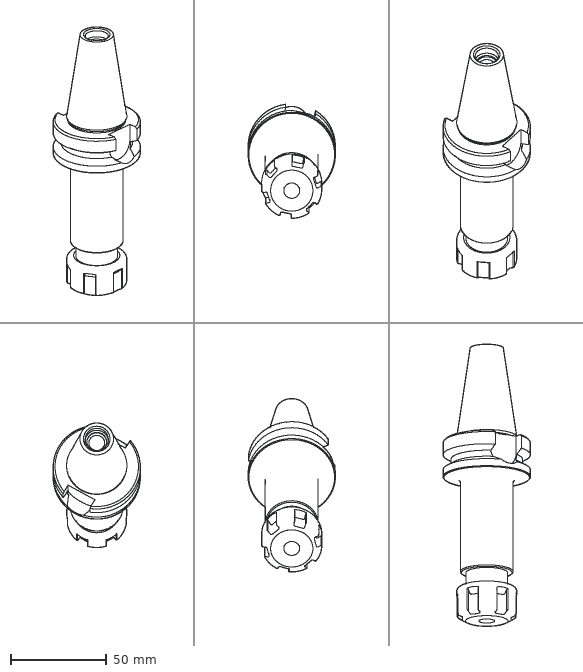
import cadquery as cq
import math

OVERALL_LENGTH = 148.4
GAUGE_HEIGHT = 100.0
FLANGE_TOP = 98.1
FLANGE_BOTTOM = 78.0
SHANK_BOTTOM = 26.3
NUT_TOP = 18.1

GAUGE_RADIUS = 15.9
RELIEF_DEPTH = 0.6
RELIEF_SHOULDER = 98.8
TAPER_RATIO = 7 / 24
FLANGE_RADIUS = 23.0
FLANGE_TOP_CHAMFER = 1.0
FLANGE_BOTTOM_CHAMFER = 0.5

GRIP_GROOVE_RADIUS = 18.8
GRIP_GROOVE_TOP = 88.0
GRIP_GROOVE_BOTTOM = 84.7
GRIP_GROOVE_ANGLE = 30.0

DRIVE_SLOT_WIDTH = 16.2
DRIVE_SLOT_FLOOR = 16.3
DRIVE_SLOT_BOTTOM = 80.7

SHANK_RADIUS = 14.0
SHANK_FILLET = 3.0
SHANK_CHAMFER = 0.6
NECK_RADIUS = 11.0

NUT_RADIUS = 15.9
NUT_TOP_FILLET = 2.2
NUT_MOUTH_RADIUS = 12.2
NUT_MOUTH_DEPTH = 0.5
NUT_FACE_RADIUS = 11.1
NUT_CONE_ANGLE = 30.0
NUT_EDGE_FILLET = 1.5

NUT_SLOT_COUNT = 6
NUT_SLOT_WIDTH = 6.0
NUT_SLOT_FLOOR = 12.8
NUT_SLOT_FILLET = 0.67
NUT_SLOT_FLARE = 0.5
NUT_SLOT_TOP = 14.0
NUT_SLOT_RAISED_TOP = 15.0
NUT_SLOT_CEILING_DROP = 3.1

CUTTER_OVERRUN = 1.5

BORE_RADIUS = 4.2
STEP_RADIUS = 5.2
STEP_DEPTH = 6.2
COUNTERBORE_RADIUS = 6.1
COUNTERBORE_DEPTH = 4.5
BORE_MOUTH_CHAMFER = 0.9


def revolve_profile(points):
    """Solid of revolution about Z from (radius, height) points."""
    return cq.Workplane("XZ").polyline(points).close().revolve(360, (0, 0, 0), (0, 1, 0))


def make_holder():
    """Taper, flange with its gripping groove, and shank."""
    small_radius = GAUGE_RADIUS - (OVERALL_LENGTH - GAUGE_HEIGHT) * TAPER_RATIO / 2
    flank_height = (FLANGE_RADIUS - GRIP_GROOVE_RADIUS) * math.tan(math.radians(GRIP_GROOVE_ANGLE))
    profile = (
        cq.Workplane("XZ")
        .moveTo(0, NUT_TOP)
        .lineTo(NECK_RADIUS, NUT_TOP)
        .lineTo(NECK_RADIUS, SHANK_BOTTOM)
        .lineTo(SHANK_RADIUS - SHANK_CHAMFER, SHANK_BOTTOM)
        .lineTo(SHANK_RADIUS, SHANK_BOTTOM + SHANK_CHAMFER)
        .lineTo(SHANK_RADIUS, FLANGE_BOTTOM - SHANK_FILLET)
        .radiusArc((SHANK_RADIUS + SHANK_FILLET, FLANGE_BOTTOM), SHANK_FILLET)
        .lineTo(FLANGE_RADIUS - FLANGE_BOTTOM_CHAMFER, FLANGE_BOTTOM)
        .lineTo(FLANGE_RADIUS, FLANGE_BOTTOM + FLANGE_BOTTOM_CHAMFER)
        .lineTo(FLANGE_RADIUS, GRIP_GROOVE_BOTTOM - flank_height)
        .lineTo(GRIP_GROOVE_RADIUS, GRIP_GROOVE_BOTTOM)
        .lineTo(GRIP_GROOVE_RADIUS, GRIP_GROOVE_TOP)
        .lineTo(FLANGE_RADIUS, GRIP_GROOVE_TOP + flank_height)
        .lineTo(FLANGE_RADIUS, FLANGE_TOP - FLANGE_TOP_CHAMFER)
        .lineTo(FLANGE_RADIUS - FLANGE_TOP_CHAMFER, FLANGE_TOP)
        .lineTo(GAUGE_RADIUS - RELIEF_DEPTH, FLANGE_TOP)
        .lineTo(GAUGE_RADIUS - RELIEF_DEPTH, RELIEF_SHOULDER)
        .lineTo(GAUGE_RADIUS, GAUGE_HEIGHT)
        .lineTo(small_radius, OVERALL_LENGTH)
        .lineTo(0, OVERALL_LENGTH)
        .close()
    )
    return profile.revolve(360, (0, 0, 0), (0, 1, 0))


def make_drive_slot():
    """Round-bottomed cutter for the drive slot on the +X side."""
    half_width = DRIVE_SLOT_WIDTH / 2
    arc_height = DRIVE_SLOT_BOTTOM + half_width
    return (
        cq.Workplane("YZ", origin=(DRIVE_SLOT_FLOOR, 0, 0))
        .moveTo(-half_width, FLANGE_TOP)
        .lineTo(-half_width, arc_height)
        .threePointArc((0, DRIVE_SLOT_BOTTOM), (half_width, arc_height))
        .lineTo(half_width, FLANGE_TOP)
        .close()
        .extrude(FLANGE_RADIUS)
    )


def make_nut_blank():
    """Nut body before its wrench slots are cut."""
    cone_height = (NUT_RADIUS - NUT_FACE_RADIUS) * math.tan(math.radians(NUT_CONE_ANGLE))
    blank = revolve_profile([
        (0, 0),
        (NUT_FACE_RADIUS, 0),
        (NUT_RADIUS, cone_height),
        (NUT_RADIUS, NUT_TOP),
        (0, NUT_TOP),
    ])
    blank = blank.faces(">Z").edges().fillet(NUT_TOP_FILLET)
    cone_edge = cq.selectors.BoxSelector(
        (-FLANGE_RADIUS, -FLANGE_RADIUS, cone_height / 2),
        (FLANGE_RADIUS, FLANGE_RADIUS, cone_height * 2),
        boundingbox=True,
    )
    blank = blank.edges(cone_edge).fillet(NUT_EDGE_FILLET)
    mouth = revolve_profile([
        (NECK_RADIUS, NUT_TOP),
        (NUT_MOUTH_RADIUS, NUT_TOP),
        (NECK_RADIUS, NUT_TOP - NUT_MOUTH_DEPTH),
    ])
    return blank.cut(mouth)


def make_nut_slot(top):
    """Wrench slot cutter on the +X side, with flared walls and a sloping ceiling."""
    outside = NUT_RADIUS + CUTTER_OVERRUN
    half_width = NUT_SLOT_WIDTH / 2
    rim_half_width = half_width + NUT_SLOT_FLARE
    rim_x = math.sqrt(NUT_RADIUS**2 - rim_half_width**2)
    flare_x = rim_x - NUT_SLOT_FLARE
    outside_half_width = rim_half_width + outside - rim_x
    plan = (
        cq.Workplane("XY", origin=(0, 0, -CUTTER_OVERRUN))
        .polyline([
            (NUT_SLOT_FLOOR, -half_width),
            (flare_x, -half_width),
            (outside, -outside_half_width),
            (outside, outside_half_width),
            (flare_x, half_width),
            (NUT_SLOT_FLOOR, half_width),
        ])
        .close()
        .extrude(NUT_TOP)
        .faces("<X")
        .edges("|Z")
        .fillet(NUT_SLOT_FILLET)
    )
    slope = NUT_SLOT_CEILING_DROP / (NUT_RADIUS - NUT_SLOT_FLOOR)
    side = (
        cq.Workplane("XZ")
        .polyline([
            (NUT_SLOT_FLOOR, -CUTTER_OVERRUN),
            (outside, -CUTTER_OVERRUN),
            (outside, top + slope * (outside - NUT_RADIUS)),
            (NUT_SLOT_FLOOR, top - NUT_SLOT_CEILING_DROP),
        ])
        .close()
        .extrude(outside_half_width, both=True)
    )
    return plan.intersect(side)


def make_nut():
    """Clamping nut with its ring of wrench slots."""
    nut = make_nut_blank()
    for index in range(NUT_SLOT_COUNT):
        angle = index * 360 / NUT_SLOT_COUNT
        on_raised_half = math.cos(math.radians(angle)) > 0
        top = NUT_SLOT_RAISED_TOP if on_raised_half else NUT_SLOT_TOP
        nut = nut.cut(make_nut_slot(top).rotate((0, 0, 0), (0, 0, 1), angle))
    return nut


def make_bore():
    """Through bore cutter, widening in 45-degree steps towards the small end of the taper."""
    step_floor = OVERALL_LENGTH - STEP_DEPTH
    counterbore_floor = OVERALL_LENGTH - COUNTERBORE_DEPTH
    return revolve_profile([
        (0, 0),
        (BORE_RADIUS, 0),
        (BORE_RADIUS, step_floor - (STEP_RADIUS - BORE_RADIUS)),
        (STEP_RADIUS, step_floor),
        (STEP_RADIUS, counterbore_floor - (COUNTERBORE_RADIUS - STEP_RADIUS)),
        (COUNTERBORE_RADIUS, counterbore_floor),
        (COUNTERBORE_RADIUS, OVERALL_LENGTH - BORE_MOUTH_CHAMFER),
        (COUNTERBORE_RADIUS + BORE_MOUTH_CHAMFER, OVERALL_LENGTH),
        (0, OVERALL_LENGTH),
    ])


holder = make_holder()
for side_angle in (0, 180):
    holder = holder.cut(make_drive_slot().rotate((0, 0, 0), (0, 0, 1), side_angle))

result = holder.union(make_nut()).cut(make_bore())